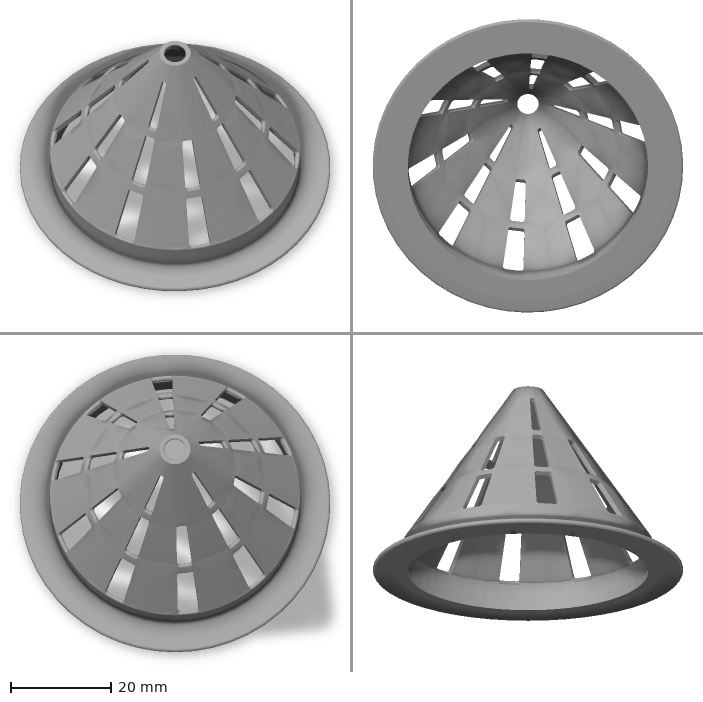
import cadquery as cq
import math

flange_radius = 31.0
flange_thickness = 1.0
collar_radius = 25.0
bore_radius = 24.0
collar_top = 6.0
collar_top_fillet = 0.5
root_fillet = 0.5

wall = 1.0
total_height = 38.05
tip_radius = 3.1
tip_hole_fillet = 0.25

bay_count = 10
bay_angle = 360 / bay_count
slot_angle = 10.0
row_count = 3
row_pitch = 10.0
first_slot_floor = 6.0
slot_rise = 8.85
slot_corner_radius = 0.5
top_row_corner_radius = 0.3
slot_overshoot = 0.25

cone_run = collar_radius - tip_radius
cone_rise = total_height - collar_top
cone_slant = math.hypot(cone_run, cone_rise)
normal_r = cone_rise / cone_slant
normal_z = cone_run / cone_slant
wall_across = wall / normal_r


def wall_point(z, depth, climb=0.0):
    """Point (r, z) at a depth under the outer cone, square to its height z, moved uphill by climb."""
    outer_r = collar_radius - cone_run * (z - collar_top) / cone_rise
    return (
        outer_r - depth * normal_r - climb * normal_z,
        z - depth * normal_z + climb * normal_r,
    )


def make_shell():
    """Flange with a round rim, collar and cone, revolved as one thin wall."""
    rim_round = flange_thickness / 2
    rim_start = flange_radius - rim_round
    root_r = collar_radius + root_fillet
    root_z = flange_thickness + root_fillet
    diagonal = root_fillet * math.sqrt(0.5)
    tip_hole_radius = tip_radius - wall_across
    bore_top = total_height - (bore_radius - tip_hole_radius) * cone_rise / cone_run
    shell = (
        cq.Workplane("XZ")
        .moveTo(bore_radius, 0)
        .lineTo(rim_start, 0)
        .threePointArc((flange_radius, rim_round), (rim_start, flange_thickness))
        .lineTo(root_r, flange_thickness)
        .threePointArc((root_r - diagonal, root_z - diagonal), (collar_radius, root_z))
        .lineTo(collar_radius, collar_top)
        .lineTo(tip_radius, total_height)
        .lineTo(tip_hole_radius, total_height)
        .lineTo(bore_radius, bore_top)
        .close()
        .revolve(360, (0, 0, 0), (0, 1, 0))
    )
    tip_hole_edge = shell.faces(">Z").edges(cq.selectors.RadiusNthSelector(0))
    shell = tip_hole_edge.fillet(tip_hole_fillet)
    collar_edge = shell.edges(cq.selectors.NearestToPointSelector((0, 0, collar_top)))
    return collar_edge.fillet(collar_top_fillet)


def make_slot(floor, ceiling_corner_radius):
    """Cutter for one slot: a fully rounded floor and a ceiling square to the slope of the cone."""
    ceiling = floor + slot_rise
    half_wall = wall / 2
    outside = -slot_overshoot
    inside = wall + slot_overshoot
    cutter = (
        cq.Workplane("XZ")
        .moveTo(*wall_point(floor, outside))
        .lineTo(*wall_point(floor, 0))
        .threePointArc(wall_point(floor, half_wall, half_wall), wall_point(floor, wall))
        .lineTo(*wall_point(floor, inside))
        .lineTo(*wall_point(ceiling, inside))
        .lineTo(*wall_point(ceiling, outside))
        .close()
        .revolve(slot_angle, (0, 0, 0), (0, -1, 0))
    )
    floor_corners = cutter.edges(cq.selectors.RadiusNthSelector(0))
    cutter = floor_corners.fillet(slot_corner_radius)
    ceiling_corners = cutter.faces(">Z").edges("%LINE")
    return ceiling_corners.fillet(ceiling_corner_radius)


result = make_shell()
for row in range(row_count):
    is_top_row = row == row_count - 1
    ceiling_corner_radius = top_row_corner_radius if is_top_row else slot_corner_radius
    bays = range(1, bay_count, 2) if is_top_row else range(bay_count)
    slot = make_slot(first_slot_floor + row * row_pitch, ceiling_corner_radius)
    for bay in bays:
        result = result.cut(slot.rotate((0, 0, 0), (0, 0, 1), bay * bay_angle))